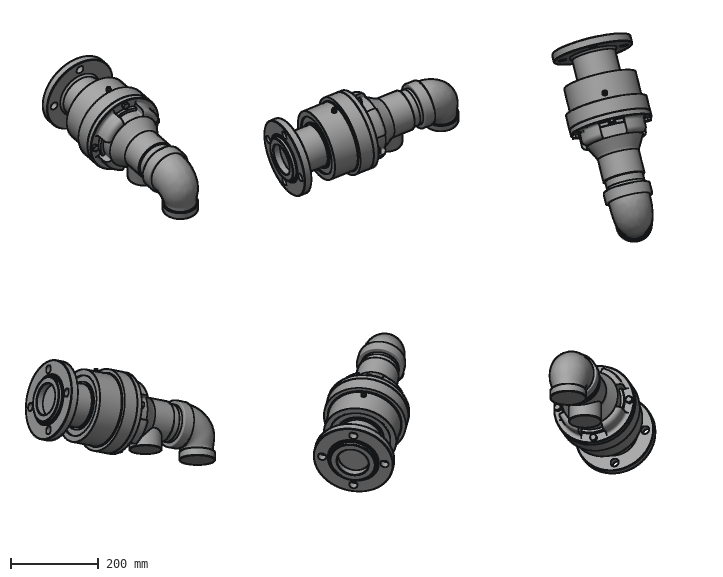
import cadquery as cq
import math


ROTOR_NOSE_D = 105.0
ROTOR_PIPE_D = 101.5
NOSE_LENGTH = 8.0
NOSE_CHAMFER = 1.5
ROTOR_FLANGE_D = 185.0
ROTOR_FLANGE_THICKNESS = 19.0
ROTOR_FLANGE_CHAMFER = 1.5
WELD_HUB_D = 111.5
WELD_HUB_LENGTH = 6.0
FACE_GROOVE_D = 119.0
FACE_GROOVE_DEPTH = 1.0
BEAD_RADIUS = 2.0
FLANGE_HOLE_D = 19.0
FLANGE_HOLE_CIRCLE_D = 145.0
FLANGE_HOLE_COUNT = 4
BORE_D = 73.3
BORE_MOUTH_D = 76.0
BORE_DEPTH = 17.5
SHAFT_COLLAR_D = 111.5

DRUM_START = 92.5
DRUM_D = 169.2
DRUM_CHAMFER = 0.5
DRUM_RECESS_D = 141.0
DRUM_RECESS_DEPTH = 3.5
RIM_START = 154.5
RIM_D = 190.5
RIM_FILLET = 2.0
JOINT_START = 189.0
JOINT_WIDTH = 1.0
JOINT_DEPTH = 0.5
RIM_END = 203.0
RIM_CHAMFER = 1.5

BOLT_COUNT = 4
BOLT_CIRCLE_D = 169.5
BOLT_HEAD_FLATS = 14.5
BOLT_HEAD_HEIGHT = 7.0

LUG_D = 162.5
LUG_END = 238.0
LUG_ROOT_FILLET = 5.5
LUG_END_ROUND = 11.5
CORE_D = 132.5
LEDGE_D = 146.5
LEDGE_END = 211.5
SLOT_COUNT = 4
SLOT_FLOOR_WIDTH = 52.0
SLOT_MOUTH_WIDTH = 61.0
SLOT_FILLET = 3.2
CONE_END = 265.5
CONE_END_D = 101.5
BARREL_START = 271.5
BARREL_D = 97.0
BARREL_END = 326.0
BARREL_CHAMFER = 1.0
PIPE_D = 89.0
THREAD_START = 342.0
THREAD_D = 88.5
ELBOW_COLLAR_START = 350.0
ELBOW_COLLAR_END = 376.5
ELBOW_COLLAR_D = 109.5
ELBOW_COLLAR_FILLET = 2.0

PORT_X = 278.0
PORT_D = 74.5
PORT_BOTTOM = -74.5
PORT_CHAMFER = 1.5

OUTLET_D = 82.5
OVERALL_LENGTH = 463.5
OUTLET_X = OVERALL_LENGTH - OUTLET_D / 2
OUTLET_TOP = -56.0
OUTLET_BOTTOM = -75.5
OUTLET_CHAMFER = 1.5
ELBOW_PIVOT_X = 380.0
ELBOW_INLET_HEIGHT = 102.5
ELBOW_INLET_WIDTH = 96.5
ELBOW_OUTLET_D = 74.5
ELBOW_SECTION_COUNT = 7

NIPPLE_X = 140.0
NIPPLE_BASE_D = 9.7
NIPPLE_COLLAR_D = 12.0
NIPPLE_STEM_D = 8.0
NIPPLE_HOLE_D = 3.0
NIPPLE_COLLAR_BOTTOM = 86.2
NIPPLE_COLLAR_TOP = 87.5
NIPPLE_TOP = 94.5
NIPPLE_HOLE_DEPTH = 1.5
NIPPLE_CHAMFER = 1.0


def disc(diameter, start, end):
    """Round bar along X between two stations."""
    return cq.Workplane("YZ", origin=(start, 0, 0)).circle(diameter / 2).extrude(end - start)


def upright_disc(diameter, x, bottom, top):
    """Round bar along Z, centred at x on the XZ plane."""
    return cq.Workplane("XY", origin=(x, 0, bottom)).circle(diameter / 2).extrude(top - bottom)


def cone(start_diameter, start, end_diameter, end):
    """Truncated cone along X."""
    outline = [(start, 0), (start, start_diameter / 2), (end, end_diameter / 2), (end, 0)]
    return cq.Workplane("XY").polyline(outline).close().revolve(360, (0, 0, 0), (1, 0, 0))


def around_axis(shape, count):
    """Copies of a shape spread evenly about the X axis."""
    return [shape.rotate((0, 0, 0), (1, 0, 0), index * 360 / count) for index in range(count)]


def make_rotor():
    flange_end = NOSE_LENGTH + ROTOR_FLANGE_THICKNESS
    recess_floor = DRUM_START + DRUM_RECESS_DEPTH
    nose = disc(ROTOR_NOSE_D, 0, flange_end).faces("<X").chamfer(NOSE_CHAMFER)
    flange = disc(ROTOR_FLANGE_D, NOSE_LENGTH, flange_end).edges().chamfer(ROTOR_FLANGE_CHAMFER)
    groove = disc(FACE_GROOVE_D, NOSE_LENGTH, NOSE_LENGTH + FACE_GROOVE_DEPTH)
    bead_circle_radius = FACE_GROOVE_D / 2 - BEAD_RADIUS
    bead = cq.Workplane(
        cq.Solid.makeTorus(
            bead_circle_radius,
            BEAD_RADIUS,
            cq.Vector(NOSE_LENGTH + FACE_GROOVE_DEPTH, 0, 0),
            cq.Vector(1, 0, 0),
        )
    )
    rotor = flange.cut(groove).union(bead).union(nose)

    hole = disc(FLANGE_HOLE_D, NOSE_LENGTH, flange_end).translate((0, 0, FLANGE_HOLE_CIRCLE_D / 2))
    for flange_hole in around_axis(hole, FLANGE_HOLE_COUNT):
        rotor = rotor.cut(flange_hole)

    rotor = rotor.union(disc(ROTOR_PIPE_D, flange_end, recess_floor))
    rotor = rotor.union(cone(WELD_HUB_D, flange_end, ROTOR_PIPE_D, flange_end + WELD_HUB_LENGTH))
    rotor = rotor.union(disc(SHAFT_COLLAR_D, DRUM_START, recess_floor))

    rotor = rotor.cut(disc(BORE_D, 0, BORE_DEPTH))
    return rotor.cut(cone(BORE_MOUTH_D, 0, BORE_D, (BORE_MOUTH_D - BORE_D) / 2))


def make_drum():
    drum = disc(DRUM_D, DRUM_START, RIM_START).faces("<X").chamfer(DRUM_CHAMFER)
    rim = disc(RIM_D, RIM_START, RIM_END).faces(">X").chamfer(RIM_CHAMFER)
    rim_root = cone(DRUM_D, RIM_START - RIM_FILLET, DRUM_D + 2 * RIM_FILLET, RIM_START)
    joint_end = JOINT_START + JOINT_WIDTH
    joint = disc(RIM_D, JOINT_START, joint_end).cut(disc(RIM_D - 2 * JOINT_DEPTH, JOINT_START, joint_end))
    recess = disc(DRUM_RECESS_D, DRUM_START, DRUM_START + DRUM_RECESS_DEPTH)
    return drum.union(rim_root).union(rim.cut(joint)).cut(recess)


def make_bolt_heads():
    """Hexagonal heads on the cover, each with two flats facing along the radius."""
    across_corners = BOLT_HEAD_FLATS / math.cos(math.pi / 6)
    head = (
        cq.Workplane("YZ", origin=(RIM_END, 0, 0))
        .center(0, BOLT_CIRCLE_D / 2)
        .polygon(6, across_corners)
        .extrude(BOLT_HEAD_HEIGHT)
    )
    return around_axis(head, BOLT_COUNT)


def make_slot():
    """Bolt clearance at the top of the neck, with drafted walls, open outwards."""
    wall_z = math.sqrt(CORE_D**2 - SLOT_FLOOR_WIDTH**2) / 2 - SLOT_FILLET
    top_z = LUG_D / 2
    mouth_z = RIM_D / 2
    spread = (SLOT_MOUTH_WIDTH - SLOT_FLOOR_WIDTH) / 2 * (mouth_z - wall_z) / (top_z - wall_z)
    floor_half = SLOT_FLOOR_WIDTH / 2
    outline = [
        (-floor_half, 0),
        (floor_half, 0),
        (floor_half, wall_z),
        (floor_half + spread, mouth_z),
        (-floor_half - spread, mouth_z),
        (-floor_half, wall_z),
    ]
    prism = cq.Workplane("YZ", origin=(RIM_END, 0, 0)).polyline(outline).close().extrude(LUG_END - RIM_END)
    slot = prism.cut(disc(CORE_D, RIM_END, LUG_END))
    return slot.edges("|X").edges("<Z").fillet(SLOT_FILLET)


def make_neck():
    """Slotted lug ring on a core, tapering down to the barrel and its pipe."""
    lug_radius = LUG_D / 2
    bend = math.sqrt(0.5)
    root = LUG_ROOT_FILLET
    rounding = LUG_END_ROUND
    lugs = (
        cq.Workplane("XY")
        .moveTo(RIM_END, 0)
        .lineTo(RIM_END, lug_radius + root)
        .threePointArc(
            (RIM_END + root * (1 - bend), lug_radius + root * (1 - bend)),
            (RIM_END + root, lug_radius),
        )
        .lineTo(LUG_END - rounding, lug_radius)
        .threePointArc(
            (LUG_END - rounding * (1 - bend), lug_radius - rounding * (1 - bend)),
            (LUG_END, lug_radius - rounding),
        )
        .lineTo(LUG_END, 0)
        .close()
        .revolve(360, (0, 0, 0), (1, 0, 0))
    )
    for slot in around_axis(make_slot(), SLOT_COUNT):
        lugs = lugs.cut(slot)

    neck = lugs.union(disc(CORE_D, RIM_END, LUG_END)).union(disc(LEDGE_D, RIM_END, LEDGE_END))
    neck = neck.union(cone(CORE_D, LUG_END, CONE_END_D, CONE_END))
    neck = neck.union(cone(CONE_END_D, CONE_END, BARREL_D, BARREL_START))
    neck = neck.union(disc(BARREL_D, BARREL_START, BARREL_END).faces(">X").chamfer(BARREL_CHAMFER))
    neck = neck.union(disc(PIPE_D, BARREL_END, THREAD_START))
    return neck.union(disc(THREAD_D, THREAD_START, ELBOW_COLLAR_START))


def make_port():
    return upright_disc(PORT_D, PORT_X, PORT_BOTTOM, 0).faces("<Z").chamfer(PORT_CHAMFER)


def elbow_section(angle):
    """Elliptical section of the bend, turned about the pivot from upright (0) to level (90 degrees).

    The far side is capped so that the outlet leg goes straight down.
    """
    cosine = math.cos(angle)
    sine = math.sin(angle)
    inlet_near = -ELBOW_INLET_HEIGHT / 2 - OUTLET_TOP
    outlet_near = OUTLET_X - ELBOW_OUTLET_D / 2 - ELBOW_PIVOT_X
    near = outlet_near + (inlet_near - outlet_near) * cosine
    far = near + ELBOW_OUTLET_D + (ELBOW_INLET_HEIGHT - ELBOW_OUTLET_D) * cosine
    if sine > 0:
        far = min(far, (outlet_near + ELBOW_OUTLET_D) / sine)
    height = far - near
    width = min(height, ELBOW_OUTLET_D + (ELBOW_INLET_WIDTH - ELBOW_OUTLET_D) * cosine)
    reach = (near + far) / 2
    centre = cq.Vector(ELBOW_PIVOT_X + reach * sine, 0, OUTLET_TOP + reach * cosine)
    plane = cq.Plane(origin=centre, xDir=(sine, 0, cosine), normal=(cosine, 0, -sine))
    return cq.Workplane(plane).ellipse(height / 2, width / 2).wires().val()


def make_elbow():
    collar = disc(ELBOW_COLLAR_D, ELBOW_COLLAR_START, ELBOW_COLLAR_END).edges().fillet(ELBOW_COLLAR_FILLET)
    inlet = (
        cq.Workplane("YZ", origin=(ELBOW_COLLAR_END, 0, 0))
        .ellipse(ELBOW_INLET_WIDTH / 2, ELBOW_INLET_HEIGHT / 2)
        .extrude(ELBOW_PIVOT_X - ELBOW_COLLAR_END)
    )
    step = math.pi / 2 / (ELBOW_SECTION_COUNT - 1)
    sections = [elbow_section(index * step) for index in range(ELBOW_SECTION_COUNT)]
    bend = cq.Workplane(cq.Solid.makeLoft(sections))
    outlet = upright_disc(OUTLET_D, OUTLET_X, OUTLET_BOTTOM, OUTLET_TOP).edges().chamfer(OUTLET_CHAMFER)
    return collar.union(inlet).union(bend).union(outlet)


def make_nipple():
    base = upright_disc(NIPPLE_BASE_D, NIPPLE_X, DRUM_D / 2 - NIPPLE_BASE_D / 2, NIPPLE_COLLAR_BOTTOM)
    collar = upright_disc(NIPPLE_COLLAR_D, NIPPLE_X, NIPPLE_COLLAR_BOTTOM, NIPPLE_COLLAR_TOP)
    stem = upright_disc(NIPPLE_STEM_D, NIPPLE_X, NIPPLE_COLLAR_TOP, NIPPLE_TOP)
    stem = stem.faces(">Z").chamfer(NIPPLE_CHAMFER)
    hole = upright_disc(NIPPLE_HOLE_D, NIPPLE_X, NIPPLE_TOP - NIPPLE_HOLE_DEPTH, NIPPLE_TOP)
    return base.union(collar).union(stem).cut(hole)


def make_housing():
    housing = make_drum().union(make_neck()).union(make_port()).union(make_elbow()).union(make_nipple())
    for head in make_bolt_heads():
        housing = housing.union(head)
    return housing


rotor = make_rotor()
housing = make_housing()
result = cq.Compound.makeCompound([rotor.solids().val(), housing.solids().val()])